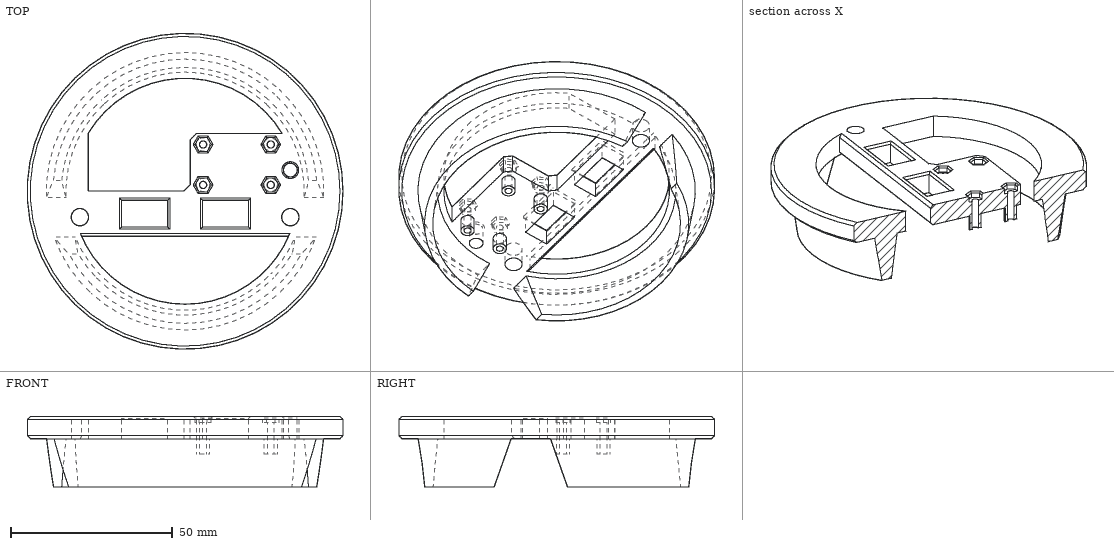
import cadquery as cq
import math

plate_diameter = 98
plate_thickness = 7.0
rim_chamfer = 1.0
opening_radius = 35.0

total_height = 22.0
skirt_top_radius = 43.0
skirt_bottom_radius = 41.0
skirt_inner_top_radius = 36.9
skirt_inner_bottom_radius = 38.4

screw_x = 32.6
screw_y = -8.0
screw_diameter = 5.3
gap_top_width = 12.2
gap_bottom_width = 22.7

cable_y = 6.6
cable_diameter = 4.2
cable_chamfer = 0.5

bar_front_y = -13.0
bar_back_y = 0.1
bar_chamfer = 1.0
left_edge_x = -30.0
mount_left_x = 1.6
mount_back_y = 17.9
mount_corner = 2.0

window_x = 12.5
window_y = -7.0
window_length = 14.2
window_width = 8.2
window_chamfer = 0.7

post_center_x = 16.1
post_center_y = 8.2
post_spacing_x = 21.0
post_spacing_y = 12.5
post_diameter = 4.1
post_length = 4.7
bolt_diameter = 2.2
nut_sides = 6
nut_flats = 4.3
nut_depth = 2.0
nut_chamfer = 0.5

post_points = [
    (post_center_x + side * post_spacing_x / 2, post_center_y + end * post_spacing_y / 2)
    for side in (-1, 1)
    for end in (-1, 1)
]


def make_plate():
    """Solid disc with both rim edges chamfered."""
    disc = cq.Workplane("XY").circle(plate_diameter / 2).extrude(-plate_thickness)
    return disc.edges().chamfer(rim_chamfer)


def make_skirt():
    """Ring that narrows outside and flares inside toward its foot, cut by a dovetail gap along X."""
    profile = [
        (skirt_inner_top_radius, -plate_thickness),
        (skirt_top_radius, -plate_thickness),
        (skirt_bottom_radius, -total_height),
        (skirt_inner_bottom_radius, -total_height),
    ]
    ring = cq.Workplane("XZ").polyline(profile).close().revolve(360, (0, 0), (0, 1))
    gap_profile = [
        (screw_y - gap_top_width / 2, -plate_thickness),
        (screw_y + gap_top_width / 2, -plate_thickness),
        (screw_y + gap_bottom_width / 2, -total_height),
        (screw_y - gap_bottom_width / 2, -total_height),
    ]
    gap = cq.Workplane("YZ").polyline(gap_profile).close().extrude(plate_diameter / 2, both=True)
    return ring.cut(gap)


def make_openings():
    """Round opening less the crossbar, the board mount and the straight left side."""
    disc = cq.Workplane("XY").circle(opening_radius).extrude(-plate_thickness)
    reach = plate_diameter / 2
    bar_face_y = bar_front_y - bar_chamfer
    bar_section = [
        (bar_back_y, 0),
        (bar_front_y, 0),
        (bar_face_y, -bar_chamfer),
        (bar_face_y, bar_chamfer - plate_thickness),
        (bar_front_y, -plate_thickness),
        (bar_back_y, -plate_thickness),
    ]
    bar = cq.Workplane("YZ").polyline(bar_section).close().extrude(reach, both=True)
    mount_outline = [
        (mount_left_x - mount_corner, bar_back_y),
        (mount_left_x, bar_back_y + mount_corner),
        (mount_left_x, mount_back_y - mount_corner),
        (mount_left_x + mount_corner, mount_back_y),
        (reach, mount_back_y),
        (reach, bar_back_y),
    ]
    mount = cq.Workplane("XY").polyline(mount_outline).close().extrude(-plate_thickness)
    left_outline = [
        (left_edge_x, bar_back_y),
        (left_edge_x, reach),
        (-reach, reach),
        (-reach, bar_back_y),
    ]
    left_side = cq.Workplane("XY").polyline(left_outline).close().extrude(-plate_thickness)
    return disc.cut(bar).cut(mount).cut(left_side)


def make_window(x):
    """Rectangular through window with a chamfered top edge."""
    center = cq.Workplane("XY").center(x, window_y)
    through = center.rect(window_length, window_width).extrude(-plate_thickness)
    flare = (
        center.rect(window_length + 2 * window_chamfer, window_width + 2 * window_chamfer)
        .workplane(offset=-window_chamfer)
        .rect(window_length, window_width)
        .loft()
    )
    return through.union(flare)


def make_nut_pockets():
    """Hexagonal nut pockets with chamfered mouths and bolt holes right through the posts."""
    nut_corners = nut_flats / math.cos(math.pi / nut_sides)
    mouth_corners = (nut_flats + 2 * nut_chamfer) / math.cos(math.pi / nut_sides)
    pockets = cq.Workplane("XY").pushPoints(post_points).polygon(nut_sides, nut_corners).extrude(-nut_depth)
    for point in post_points:
        mouth = (
            cq.Workplane("XY")
            .center(*point)
            .polygon(nut_sides, mouth_corners)
            .workplane(offset=-nut_chamfer)
            .polygon(nut_sides, nut_corners)
            .loft()
        )
        pockets = pockets.union(mouth)
    bolts = cq.Workplane("XY").pushPoints(post_points).circle(bolt_diameter / 2).extrude(-total_height)
    return pockets.union(bolts)


def make_cable_hole():
    """Through hole with a chamfered mouth."""
    center = cq.Workplane("XY").center(screw_x, cable_y)
    through = center.circle(cable_diameter / 2).extrude(-plate_thickness)
    sink = (
        center.circle(cable_diameter / 2 + cable_chamfer)
        .workplane(offset=-cable_chamfer)
        .circle(cable_diameter / 2)
        .loft()
    )
    return through.union(sink)


posts = (
    cq.Workplane("XY", origin=(0, 0, -plate_thickness))
    .pushPoints(post_points)
    .circle(post_diameter / 2)
    .extrude(-post_length)
)
screw_holes = (
    cq.Workplane("XY")
    .pushPoints([(-screw_x, screw_y), (screw_x, screw_y)])
    .circle(screw_diameter / 2)
    .extrude(-plate_thickness)
)

result = make_plate().cut(make_openings()).union(make_skirt()).union(posts)
result = result.cut(screw_holes).cut(make_cable_hole()).cut(make_nut_pockets())
for x in (-window_x, window_x):
    result = result.cut(make_window(x))